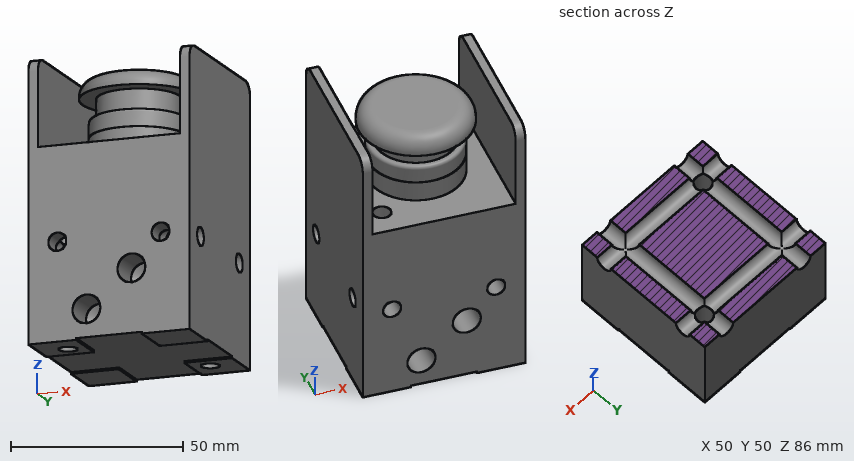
import cadquery as cq
import math

side = 50.0
total_height = 86
block_height = 59.0
plate_thickness = 3.0
plate_corner_radius = 4.0

recess_width = 20.3
recess_depth = 0.5

mount_diameter = 5.5
mount_offset = 16.0
mount_height = 30.0

port_diameter = 8.6
port_depth = 11.2
drill_point_angle = 118
port_centers = [(7.0, 20.0), (-7.0, 9.0)]

base_diameter = 29.5
base_top = 65.5
collar_diameter = 29.3
collar_top = 71.0
collar_rounding = 1.0
stem_diameter = 25.0
head_diameter = 35.0
head_flat_diameter = 25.0
head_bottom = 77.4
head_top = 82.9


def make_body():
    body = cq.Workplane("XY").box(side, side, total_height, centered=(True, True, False))
    body = body.edges("|X and >Z").fillet(plate_corner_radius)
    gap = cq.Workplane("XY").workplane(offset=block_height).rect(side - 2 * plate_thickness, side)
    body = body.cut(gap.extrude(total_height - block_height))
    for channel_size in [(recess_width, side), (side, recess_width)]:
        body = body.cut(cq.Workplane("XY").rect(*channel_size).extrude(recess_depth))
    return body


def make_mounting_holes():
    pair = [(-mount_offset, mount_height), (mount_offset, mount_height)]
    diagonal = [(-mount_offset, -mount_offset), (mount_offset, mount_offset)]
    radius = mount_diameter / 2
    holes = cq.Workplane("XZ").pushPoints(pair).circle(radius).extrude(side / 2, both=True)
    holes = holes.union(cq.Workplane("YZ").pushPoints(pair).circle(radius).extrude(side / 2, both=True))
    return holes.union(cq.Workplane("XY").pushPoints(diagonal).circle(radius).extrude(block_height))


def make_port(x, z):
    radius = port_diameter / 2
    point_length = radius / math.tan(math.radians(drill_point_angle / 2))
    profile = (
        cq.Workplane("XY")
        .lineTo(radius, 0)
        .lineTo(radius, port_depth)
        .lineTo(0, port_depth + point_length)
        .close()
    )
    return profile.revolve(360, (0, 0), (0, 1)).translate((x, -side / 2, z))


def rounded_edge(outer_radius, top, rounding):
    """Middle and end points of a quarter arc from a vertical wall onto a flat top."""
    inset = rounding * (1 - math.sqrt(0.5))
    return (outer_radius - inset, top - inset), (outer_radius - rounding, top)


def make_button():
    base_radius = base_diameter / 2
    collar_radius = collar_diameter / 2
    stem_radius = stem_diameter / 2
    head_radius = head_diameter / 2
    head_rounding = (head_diameter - head_flat_diameter) / 2
    profile = (
        cq.Workplane("XZ")
        .moveTo(0, block_height)
        .lineTo(base_radius, block_height)
        .lineTo(base_radius, base_top)
        .lineTo(collar_radius, base_top)
        .lineTo(collar_radius, collar_top - collar_rounding)
        .threePointArc(*rounded_edge(collar_radius, collar_top, collar_rounding))
        .lineTo(stem_radius, collar_top)
        .lineTo(stem_radius, head_bottom)
        .lineTo(head_radius, head_bottom)
        .lineTo(head_radius, head_top - head_rounding)
        .threePointArc(*rounded_edge(head_radius, head_top, head_rounding))
        .lineTo(0, head_top)
        .close()
    )
    return profile.revolve(360, (0, 0), (0, 1))


result = make_body().union(make_button()).cut(make_mounting_holes())
for port_x, port_z in port_centers:
    result = result.cut(make_port(port_x, port_z))